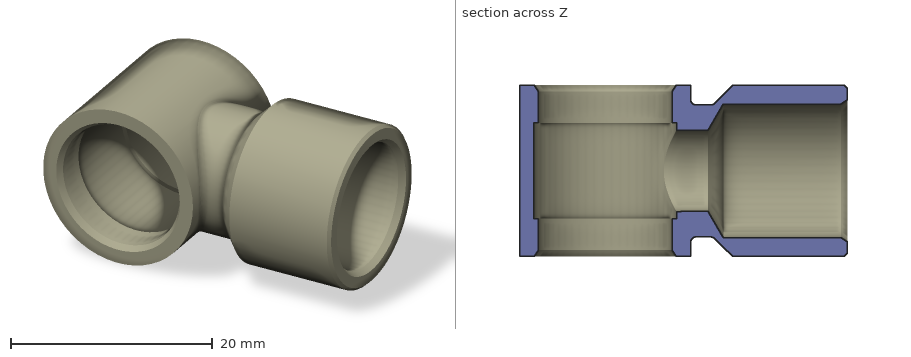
import cadquery as cq
import math

outer_radius = 8.5
tube_length = 2 * outer_radius
total_length = 32.5

lip_radius = 6.6
mouth_radius = 7.02
chamber_radius = 7.05
mouth_depth = 0.65
lip_depth = 3.77

neck_radius = 6.55
flare_start = 10.7
flare_end = flare_start + outer_radius - neck_radius
branch_end = total_length - outer_radius
end_chamfer = 0.32
blend_radius = 0.5

passage_radius = 4.0
passage_end = 10.2
shoulder_angle = 60.0
socket_start = passage_end + (lip_radius - passage_radius) / math.tan(math.radians(shoulder_angle))


def cylinder_y(radius, length):
    """Cylinder along Y, centred on the origin."""
    return cq.Workplane("XZ").circle(radius).extrude(length / 2, both=True)


def revolve_about_x(points):
    """Turn a closed (x, radius) profile about the X axis."""
    return cq.Workplane("XY").polyline(points).close().revolve(360, (0, 0, 0), (1, 0, 0))


def make_branch():
    """Neck, flare and socket exterior as one solid of revolution."""
    return revolve_about_x([
        (0, 0),
        (0, neck_radius),
        (flare_start, neck_radius),
        (flare_end, outer_radius),
        (branch_end - end_chamfer, outer_radius),
        (branch_end, outer_radius - end_chamfer),
        (branch_end, 0),
    ])


def blend_neck(body):
    """Fillet both ends of the neck: at the main tube and at the flare."""
    reach = neck_radius + blend_radius
    neck_face = body.faces(cq.selectors.BoxSelector(
        (outer_radius, -reach, -reach),
        (flare_start, reach, reach),
    )).faces("%CYLINDER")
    neck_end_edges = neck_face.edges("not %LINE")
    return neck_end_edges.fillet(blend_radius)


def make_main_bore():
    """Through bore with a chamfered lip at each end and a wider middle."""
    half_length = tube_length / 2
    lip_start = half_length - lip_depth
    mouth_start = half_length - mouth_depth
    points = [
        (0, -half_length),
        (mouth_radius, -half_length),
        (lip_radius, -mouth_start),
        (lip_radius, -lip_start),
        (chamber_radius, -lip_start),
        (chamber_radius, lip_start),
        (lip_radius, lip_start),
        (lip_radius, mouth_start),
        (mouth_radius, half_length),
        (0, half_length),
    ]
    return cq.Workplane("XY").polyline(points).close().revolve(360, (0, 0, 0), (0, 1, 0))


def make_branch_bore():
    """Neck passage flaring into a plain socket with a chamfered mouth."""
    return revolve_about_x([
        (0, 0),
        (0, passage_radius),
        (passage_end, passage_radius),
        (socket_start, lip_radius),
        (branch_end - mouth_depth, lip_radius),
        (branch_end, mouth_radius),
        (branch_end, 0),
    ])


body = cylinder_y(outer_radius, tube_length).union(make_branch())
body = blend_neck(body)
result = body.cut(make_main_bore()).cut(make_branch_bore())